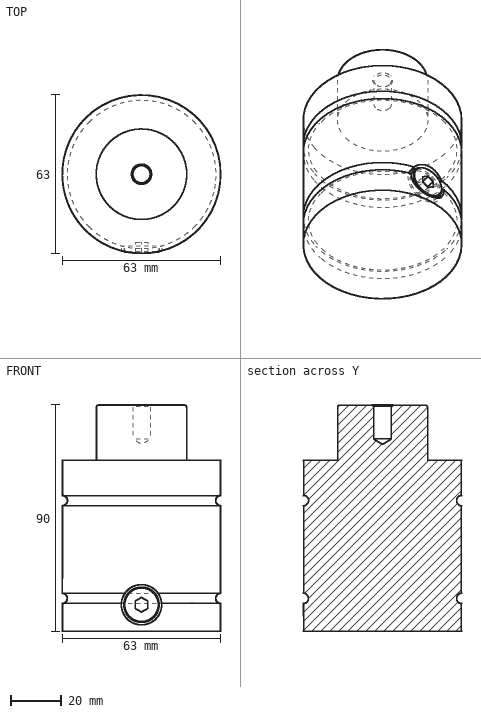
import cadquery as cq
import math

total_height = 90.0
body_diameter = 63.0
body_height = 68.0
rod_diameter = 36.0
rod_fillet = 1.0

groove_radius = 2.0
groove_heights = (13.1, 52.0)

hole_diameter = 6.8
hole_mouth_diameter = 8.0
hole_depth = 13.5
drill_point_angle = 118.0

port_height = 10.6
port_diameter = 16.0
port_depth = 3.15
plug_diameter = 14.0
plug_setback = 0.5
plug_chamfer = 0.4
hex_across_flats = 5.0
hex_depth = 4.0

body_radius = body_diameter / 2


def make_body():
    body = cq.Workplane("XY").circle(body_radius).extrude(body_height)
    rod = cq.Workplane("XY").circle(rod_diameter / 2).extrude(total_height)
    return body.union(rod.faces(">Z").edges().fillet(rod_fillet))


def make_groove(height):
    ring = cq.Solid.makeTorus(body_radius, groove_radius, cq.Vector(0, 0, height))
    return cq.Workplane(ring)


def make_rod_hole():
    """Conical-bottomed hole with a 45 degree countersink, as a solid to remove."""
    radius = hole_diameter / 2
    mouth_radius = hole_mouth_diameter / 2
    countersink_depth = mouth_radius - radius
    point_depth = radius / math.tan(math.radians(drill_point_angle / 2))
    bottom = total_height - hole_depth
    return (
        cq.Workplane("XZ")
        .moveTo(0, total_height)
        .lineTo(mouth_radius, total_height)
        .lineTo(radius, total_height - countersink_depth)
        .lineTo(radius, bottom)
        .lineTo(0, bottom - point_depth)
        .close()
        .revolve(360, (0, 0), (0, 1))
    )


def port_plane(setback):
    """Plane facing -Y, centred on the port, set back from the body surface."""
    origin = (0, setback - body_radius, port_height)
    return cq.Workplane("XZ", origin=origin)


def make_plug():
    plug_length = port_depth - plug_setback
    plug = port_plane(port_depth).circle(plug_diameter / 2).extrude(plug_length)
    plug = plug.faces("<Y").chamfer(plug_chamfer)
    hex_corners = hex_across_flats / math.cos(math.radians(30))
    socket = (
        port_plane(plug_setback)
        .transformed(rotate=(0, 0, 90))
        .polygon(6, hex_corners)
        .extrude(-hex_depth)
    )
    return plug, socket


result = make_body().cut(make_rod_hole())
for groove_height in groove_heights:
    result = result.cut(make_groove(groove_height))

plug, socket = make_plug()
port = port_plane(port_depth).circle(port_diameter / 2).extrude(port_depth)
result = result.cut(port).union(plug).cut(socket)